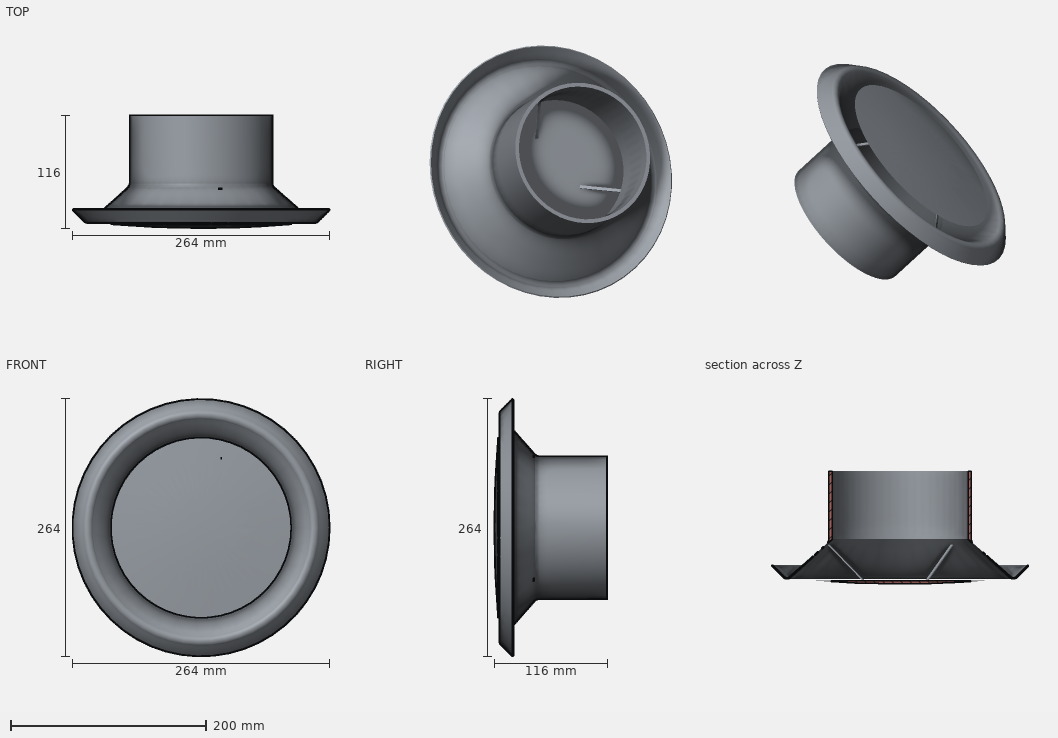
import cadquery as cq
import math

total_depth = 116.0
wall = 1.5
tube_wall = 4.0

rim_radius = 132
lip_y = 18.7
roll_radius = 116.1
roll_half_width = 4.8
roll_y = 7.7
roll_height = 2.5
tube_radius = 73.5
cone_half_angle = 47.5
neck_y = 43.3
neck_bend = 5.3
neck_margin = 0.3

disc_radius = 92.5
disc_edge_y = 4.0
leg_count = 3
first_leg_angle = 75
leg_width = 3.2
leg_depth = 1.5
leg_wall_y = 40.0
leg_embed = 1.3

tube_bore = tube_radius - tube_wall
cone_top_radius = roll_radius - roll_half_width
cone_angle = math.radians(cone_half_angle)
neck_inner_y = roll_y + (cone_top_radius - tube_bore) / math.tan(cone_angle)
cone_shift = (wall * math.cos(cone_angle), wall * math.sin(cone_angle))
rim_shift = wall * math.sqrt(0.5)
crest_y = roll_y - roll_height


def revolve_about_duct(profile):
    return profile.close().revolve(360, (0, 0, 0), (0, 1, 0))


def make_housing():
    rim_inner = roll_radius + roll_half_width
    profile = (
        cq.Workplane("XY")
        .moveTo(rim_radius, lip_y)
        .lineTo(rim_inner, roll_y)
        .threePointArc((roll_radius, crest_y), (cone_top_radius, roll_y))
        .lineTo(tube_bore, neck_inner_y)
        .lineTo(tube_bore, total_depth)
        .lineTo(tube_radius, total_depth)
        .lineTo(tube_radius, neck_y)
        .lineTo(cone_top_radius + cone_shift[0], roll_y + cone_shift[1])
        .threePointArc((roll_radius, crest_y + wall), (rim_inner - rim_shift, roll_y + rim_shift))
        .lineTo(rim_radius - rim_shift, lip_y + rim_shift)
    )
    housing = revolve_about_duct(profile)
    outer_neck = housing.edges(cq.selectors.BoxSelector(
        (-rim_radius, neck_y - neck_margin, -rim_radius),
        (rim_radius, neck_y + neck_margin, rim_radius),
        boundingbox=True,
    ))
    return outer_neck.fillet(neck_bend)


def make_dome():
    sphere_radius = (disc_radius**2 + disc_edge_y**2) / (2 * disc_edge_y)
    mid_radius = disc_radius / 2
    mid_y = sphere_radius - math.sqrt(sphere_radius**2 - mid_radius**2)
    profile = (
        cq.Workplane("XY")
        .moveTo(0, 0)
        .threePointArc((mid_radius, mid_y), (disc_radius, disc_edge_y))
        .lineTo(0, disc_edge_y)
    )
    return revolve_about_duct(profile)


def make_housing_interior():
    profile = (
        cq.Workplane("XY")
        .moveTo(0, 0)
        .lineTo(cone_top_radius, 0)
        .lineTo(cone_top_radius, roll_y)
        .lineTo(tube_bore, neck_inner_y)
        .lineTo(tube_bore, total_depth)
        .lineTo(0, total_depth)
    )
    return revolve_about_duct(profile)


def make_leg(interior):
    inner_y = disc_edge_y - leg_embed
    wall_radius = cone_top_radius - (leg_wall_y - roll_y) * math.tan(cone_angle)
    inner_radius = wall_radius - (leg_wall_y - inner_y)
    outer_y = leg_wall_y + tube_wall
    outer_radius = wall_radius + tube_wall
    leg = (
        cq.Workplane("XY")
        .polyline([
            (inner_radius, inner_y),
            (outer_radius, outer_y),
            (outer_radius, outer_y + leg_depth),
            (inner_radius - leg_depth, inner_y),
        ])
        .close()
        .extrude(leg_width / 2, both=True)
    )
    return leg.intersect(interior)


def make_disc():
    disc = make_dome()
    leg = make_leg(make_housing_interior())
    for index in range(leg_count):
        angle = first_leg_angle + index * 360 / leg_count
        disc = disc.union(leg.rotate((0, 0, 0), (0, 1, 0), -angle))
    return disc


housing = make_housing()
disc = make_disc()
result = cq.Compound.makeCompound([housing.val(), disc.val()])